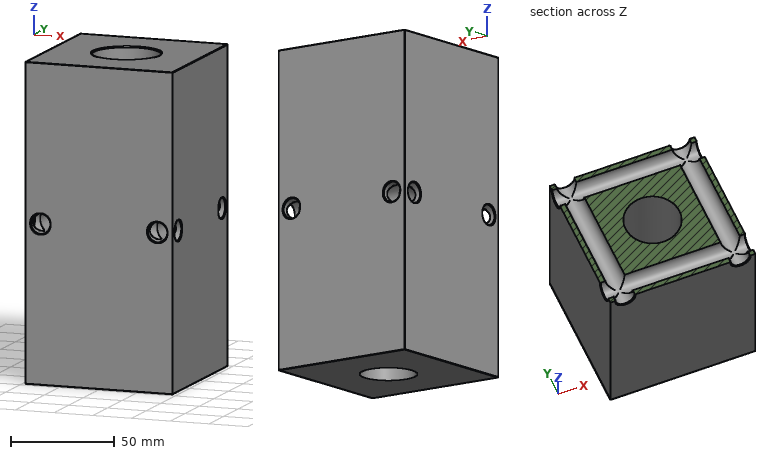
import cadquery as cq

block_width = 76.2
block_height = 158.8
edge_chamfer = 0.3

bore_diameter = 28.0
socket_depth = 17.0
socket_bottom_diameter = 32.2
socket_taper = 1 / 16
socket_chamfer = 0.6

cross_hole_diameter = 9.8
cross_hole_spacing = 60.3
cross_hole_chamfer = 0.5

half_width = block_width / 2
half_height = block_height / 2


def make_bore_cutter():
    """Bore through the block along Z, opening into a chamfered socket that widens towards the top."""
    bore_radius = bore_diameter / 2
    bottom_radius = socket_bottom_diameter / 2
    taper_length = socket_depth - socket_chamfer
    top_radius = bottom_radius + taper_length * socket_taper / 2
    mouth_radius = top_radius + socket_chamfer
    shoulder_z = half_height - socket_depth
    profile = [
        (0, -half_height),
        (bore_radius, -half_height),
        (bore_radius, shoulder_z),
        (bottom_radius, shoulder_z),
        (top_radius, half_height - socket_chamfer),
        (mouth_radius, half_height),
        (0, half_height),
    ]
    return cq.Workplane("XZ").polyline(profile).close().revolve(360, (0, 0, 0), (0, 1, 0))


def make_cross_hole_cutter():
    """Through hole along Y on the block's centre plane, chamfered at both mouths."""
    hole_radius = cross_hole_diameter / 2
    mouth_radius = hole_radius + cross_hole_chamfer
    chamfer_start = half_width - cross_hole_chamfer
    profile = [
        (0, -half_width),
        (mouth_radius, -half_width),
        (hole_radius, -chamfer_start),
        (hole_radius, chamfer_start),
        (mouth_radius, half_width),
        (0, half_width),
    ]
    return cq.Workplane("XY").polyline(profile).close().revolve(360, (0, 0, 0), (0, 1, 0))


block = cq.Workplane("XY").box(block_width, block_width, block_height)
block = block.edges().chamfer(edge_chamfer)
result = block.cut(make_bore_cutter())

cross_hole = make_cross_hole_cutter()
for side in (-1, 1):
    hole_along_y = cross_hole.translate((side * cross_hole_spacing / 2, 0, 0))
    hole_along_x = hole_along_y.rotate((0, 0, 0), (0, 0, 1), 90)
    result = result.cut(hole_along_y).cut(hole_along_x)